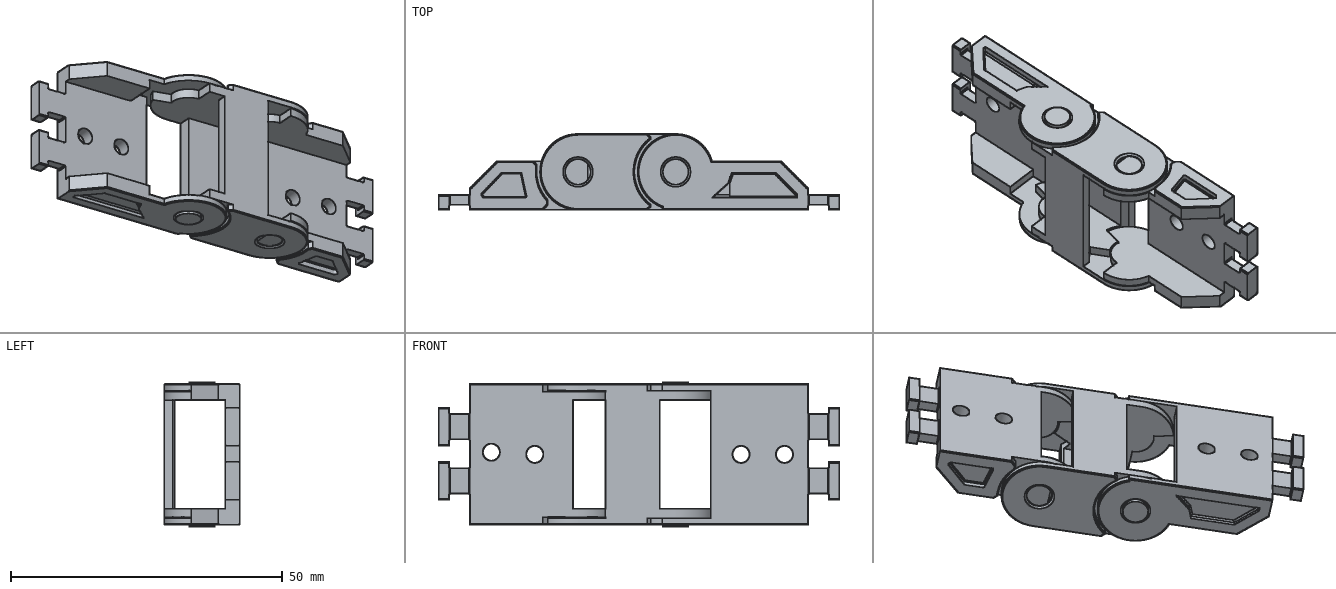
import cadquery as cq
import math

HALF_WIDTH = 13.0
LINK_DEPTH = 14.0
HINGE_Y = LINK_DEPTH / 2
LINK_R = LINK_DEPTH / 2
LEFT_HINGE_X = -11.25
HINGE_SPACING = 18.0
RIGHT_HINGE_X = LEFT_HINGE_X + HINGE_SPACING
TOTAL_LENGTH = 73.87
PEG_LENGTH = 5.8
END_X = TOTAL_LENGTH / 2 - PEG_LENGTH

INNER_Z = 10.0
EAR_Z = 11.75
LEFT_TONGUE_Z = 11.55
EDGE_CHAMFER = 0.2

PLATE_T = 2.75
ARM_Y = 9.0
END_Y = 4.0
NOSE_RUN = ARM_Y - END_Y
LEFT_PLATE_X = -12.15
LINK_PLATE_X0 = -6.2
LINK_PLATE_X1 = 3.85
RIGHT_PLATE_X = 13.2
RIGHT_ARM_STEP_X = 16.7
RIGHT_EAR_FOOT_X = 4.25
SCREW_R = 1.55
LEFT_SCREWS = [(-27.2, 0.4), (-19.2, 0.0)]
RIGHT_SCREWS = [(18.8, 0.0), (26.8, 0.0)]

RECESS_R = 7.6
RECESS_MID_ANGLE = 205.0
TIP_CHAMFER = 0.65
LEFT_FOOT_CHAMFER = 0.9
LEFT_TIP_X = -16.8
LINK_TIP_X = 2.2
CLEARANCE_R = 7.4
BAR_T = 2.0
BAR_X1 = 3.4

HUB_R = 3.4
STOP_ANGLE = -13.0
TONGUE_END_ANGLE = 90.0
STOP_END_ANGLE = 30.0
STOP_HUB_GAP = 0.25
SECTOR_R = 12.0

PIN_R = 2.35
LEFT_PIN_TOP = 12.75
LEFT_PIN_FLAT = 1.8
COUNTERSINK = 0.4
PIN_PROUD = 0.3

LEFT_POCKET_DEPTH = 1.2
LEFT_POCKET_FILLET = 0.3
LEFT_POCKET_FLOOR_CHAMFER = 0.2
RIGHT_POCKET_DEPTH = 1.5
RIGHT_LOWER_POCKET_DEPTH = 1.0
RIGHT_POCKET_FLOOR_CHAMFER = 0.3
LEFT_POCKET = [(-28.7, 2.25), (-20.65, 2.25), (-21.65, 6.85), (-25.3, 6.85), (-29.15, 2.85)]
RIGHT_POCKET = [(13.5, 2.25), (29.15, 2.25), (29.15, 2.85), (25.2, 6.85), (17.1, 6.85), (16.4, 4.9)]

PEG_Z = [5.1, -4.9]
PEG_HEAD_LENGTH = 1.95
PEG_HEAD_WIDTH = 7.0
PEG_HEAD_CHAMFER = 0.2
PEG_NECK_WIDTH = 4.7
PEG_NECK_Y = 0.9
PEG_FLARE = 0.2


def slab(outline, z0, z1):
    """Extrude an XY outline between two heights."""
    return outline.extrude(z1 - z0).translate((0, 0, z0))


def box(x0, x1, y0, y1, z0, z1):
    return cq.Workplane("XY").box(x1 - x0, y1 - y0, z1 - z0, centered=False).translate((x0, y0, z0))


def disc(hinge_x, radius, z0, z1):
    return slab(cq.Workplane("XY").center(hinge_x, HINGE_Y).circle(radius), z0, z1)


def sector(hinge_x, inner_r, start, end, z0, z1):
    """Ring sector around a hinge, between two angles in degrees."""
    def point(radius, angle):
        a = math.radians(angle)
        return (hinge_x + radius * math.cos(a), HINGE_Y + radius * math.sin(a))

    mid = (start + end) / 2
    outline = (
        cq.Workplane("XY")
        .moveTo(*point(inner_r, start))
        .lineTo(*point(SECTOR_R, start))
        .threePointArc(point(SECTOR_R, mid), point(SECTOR_R, end))
        .lineTo(*point(inner_r, end))
        .threePointArc(point(inner_r, mid), point(inner_r, start))
        .close()
    )
    return slab(outline, z0, z1)


def circle_rise(radius, dx):
    """Half chord of a circle at a distance dx from its centre."""
    return math.sqrt(radius**2 - dx**2)


def both_sides(upper):
    """Add the mirror image below the middle plane."""
    return upper.union(upper.mirror("XY"))


def tongue(hinge_x, z1):
    """Round tongue with the quarter beyond the stop cut back to its hub."""
    cut = sector(hinge_x, HUB_R, STOP_ANGLE, TONGUE_END_ANGLE, INNER_Z, z1)
    return disc(hinge_x, LINK_R, INNER_Z, z1).cut(cut)


def pin_hole(hinge_x):
    """Cutter for a pin hole through an outer ear, countersunk at the outer face."""
    countersink = (
        cq.Workplane("XY", origin=(hinge_x, HINGE_Y, HALF_WIDTH))
        .circle(PIN_R + COUNTERSINK)
        .workplane(offset=-COUNTERSINK)
        .circle(PIN_R)
        .loft()
    )
    return disc(hinge_x, PIN_R, EAR_Z, HALF_WIDTH).union(countersink)


def pocket(points, depth):
    """Cutter for a side pocket in the outer face."""
    return slab(cq.Workplane("XY").polyline(points).close(), HALF_WIDTH - depth, HALF_WIDTH)


def screw_holes(places):
    """Cutters for the holes through a plate, at (x, z) places."""
    holes = cq.Workplane("XZ").pushPoints(places).circle(SCREW_R)
    return holes.extrude(-PLATE_T)


def peg(side, z):
    """T-shaped peg on an end face; side is -1 for the left end and +1 for the right."""
    head_x = END_X + PEG_LENGTH - PEG_HEAD_LENGTH
    half_head = PEG_HEAD_WIDTH / 2
    half_neck = PEG_NECK_WIDTH / 2
    head = box(head_x, END_X + PEG_LENGTH, 0, PLATE_T, -half_head, half_head)
    head = head.edges("|X").chamfer(PEG_HEAD_CHAMFER)
    half_outline = [
        (END_X, half_neck + PEG_FLARE),
        (END_X + PEG_FLARE, half_neck),
        (head_x - PEG_FLARE, half_neck),
        (head_x, half_neck + PEG_FLARE),
    ]
    outline = half_outline + [(x, -h) for x, h in reversed(half_outline)]
    neck = cq.Workplane("XZ").polyline(outline).close().extrude(-PLATE_T)
    side_outline = [
        (END_X, PLATE_T),
        (END_X, PEG_NECK_Y - PEG_FLARE),
        (END_X + PEG_FLARE, PEG_NECK_Y),
        (head_x - PEG_FLARE, PEG_NECK_Y),
        (head_x, PEG_NECK_Y - PEG_FLARE),
        (head_x, PLATE_T),
    ]
    profile = slab(cq.Workplane("XY").polyline(side_outline).close(), -half_head, half_head)
    whole_peg = head.union(neck.intersect(profile))
    if side < 0:
        whole_peg = whole_peg.mirror("YZ")
    return whole_peg.translate((0, 0, z))


def make_left_block():
    wall_x = LEFT_HINGE_X - RECESS_R
    tip_y = HINGE_Y - circle_rise(RECESS_R, LEFT_TIP_X - LEFT_HINGE_X)
    mid_angle = math.radians(RECESS_MID_ANGLE)
    arc_mid = (LEFT_HINGE_X + RECESS_R * math.cos(mid_angle), HINGE_Y + RECESS_R * math.sin(mid_angle))
    outer = slab(
        cq.Workplane("XY")
        .moveTo(-END_X, 0)
        .lineTo(LEFT_TIP_X - LEFT_FOOT_CHAMFER, 0)
        .lineTo(LEFT_TIP_X, LEFT_FOOT_CHAMFER)
        .lineTo(LEFT_TIP_X, tip_y)
        .threePointArc(arc_mid, (wall_x, HINGE_Y))
        .lineTo(wall_x, ARM_Y - TIP_CHAMFER)
        .lineTo(wall_x - TIP_CHAMFER, ARM_Y)
        .lineTo(-END_X + NOSE_RUN, ARM_Y)
        .lineTo(-END_X, END_Y)
        .close(),
        INNER_Z,
        HALF_WIDTH,
    )
    outer = outer.faces(">Z").edges("not <X").chamfer(EDGE_CHAMFER)
    cutter = pocket(LEFT_POCKET, LEFT_POCKET_DEPTH).edges("|Z").fillet(LEFT_POCKET_FILLET)
    cutter = cutter.faces("<Z").edges().chamfer(LEFT_POCKET_FLOOR_CHAMFER)
    web = box(wall_x - TIP_CHAMFER, LEFT_HINGE_X, 0, ARM_Y, INNER_Z, LEFT_TONGUE_Z)
    pin = disc(LEFT_HINGE_X, PIN_R, LEFT_TONGUE_Z, LEFT_PIN_TOP)
    flat_x = LEFT_HINGE_X + LEFT_PIN_FLAT
    pin = pin.cut(box(flat_x, flat_x + PIN_R, 0, LINK_DEPTH, LEFT_TONGUE_Z, LEFT_PIN_TOP))
    arm = outer.cut(cutter).union(web).union(tongue(LEFT_HINGE_X, LEFT_TONGUE_Z)).union(pin)

    plate = box(-END_X, LEFT_PLATE_X, 0, PLATE_T, -INNER_Z, INNER_Z)
    block = both_sides(arm).union(plate).cut(screw_holes(LEFT_SCREWS))
    for z in PEG_Z:
        block = block.union(peg(-1, z))
    return block


def make_link():
    tip_y = HINGE_Y - circle_rise(RECESS_R, RIGHT_HINGE_X - LINK_TIP_X)
    outer = slab(
        cq.Workplane("XY")
        .moveTo(LEFT_HINGE_X, 0)
        .lineTo(LINK_TIP_X - TIP_CHAMFER, 0)
        .lineTo(LINK_TIP_X, TIP_CHAMFER)
        .lineTo(LINK_TIP_X, tip_y)
        .threePointArc((RIGHT_HINGE_X - RECESS_R, HINGE_Y), (LINK_TIP_X, LINK_DEPTH - tip_y))
        .lineTo(LINK_TIP_X, LINK_DEPTH - TIP_CHAMFER)
        .lineTo(LINK_TIP_X - TIP_CHAMFER, LINK_DEPTH)
        .lineTo(LEFT_HINGE_X, LINK_DEPTH)
        .threePointArc((LEFT_HINGE_X - LINK_R, HINGE_Y), (LEFT_HINGE_X, 0))
        .close(),
        EAR_Z,
        HALF_WIDTH,
    )
    outer = outer.faces(">Z").edges().chamfer(EDGE_CHAMFER)
    outer = outer.cut(pin_hole(LEFT_HINGE_X))

    clearance = disc(LEFT_HINGE_X, CLEARANCE_R, -EAR_Z, EAR_Z)
    stop = sector(LEFT_HINGE_X, HUB_R + STOP_HUB_GAP, STOP_ANGLE, STOP_END_ANGLE, INNER_Z, EAR_Z)
    stop = stop.intersect(clearance)
    web = box(LINK_PLATE_X0, RIGHT_HINGE_X, 0, LINK_DEPTH, INNER_Z, EAR_Z)
    web = web.cut(clearance).union(stop)
    pin = disc(RIGHT_HINGE_X, PIN_R, EAR_Z, HALF_WIDTH + PIN_PROUD)
    side = outer.union(web).union(tongue(RIGHT_HINGE_X, EAR_Z)).union(pin)

    plate = box(LINK_PLATE_X0, LINK_PLATE_X1, 0, PLATE_T, -INNER_Z, INNER_Z)
    bar = box(LINK_PLATE_X0, BAR_X1, LINK_DEPTH - BAR_T, LINK_DEPTH, -INNER_Z, INNER_Z)
    return both_sides(side).union(plate.union(bar).cut(clearance))


def right_pocket(depth):
    """Cutter for a right side pocket, chamfered around its floor."""
    cutter = pocket(RIGHT_POCKET, depth)
    return cutter.faces("<Z").edges().chamfer(RIGHT_POCKET_FLOOR_CHAMFER)


def make_right_block():
    foot_y = HINGE_Y - circle_rise(LINK_R, RIGHT_HINGE_X - RIGHT_EAR_FOOT_X)
    neck_x = RIGHT_HINGE_X + circle_rise(LINK_R, ARM_Y - HINGE_Y)
    outer = slab(
        cq.Workplane("XY")
        .moveTo(END_X, 0)
        .lineTo(RIGHT_EAR_FOOT_X, 0)
        .lineTo(RIGHT_EAR_FOOT_X, foot_y)
        .threePointArc((RIGHT_HINGE_X - LINK_R, HINGE_Y), (RIGHT_HINGE_X, LINK_DEPTH))
        .threePointArc(
            (RIGHT_HINGE_X + LINK_R * math.sin(math.pi / 4), HINGE_Y + LINK_R * math.cos(math.pi / 4)),
            (neck_x, ARM_Y),
        )
        .lineTo(END_X - NOSE_RUN, ARM_Y)
        .lineTo(END_X, END_Y)
        .close(),
        INNER_Z,
        HALF_WIDTH,
    )
    outer = outer.faces(">Z").edges("not >X").chamfer(EDGE_CHAMFER)
    outer = outer.cut(box(LINK_PLATE_X0, RIGHT_ARM_STEP_X, 0, LINK_DEPTH, INNER_Z, EAR_Z))
    arm = outer.cut(pin_hole(RIGHT_HINGE_X))
    upper_pocket = right_pocket(RIGHT_POCKET_DEPTH)
    lower_pocket = right_pocket(RIGHT_LOWER_POCKET_DEPTH).mirror("XY")

    plate = box(RIGHT_PLATE_X, END_X, 0, PLATE_T, -INNER_Z, INNER_Z)
    plate = plate.union(box(RIGHT_PLATE_X, RIGHT_ARM_STEP_X, 0, PLATE_T, -EAR_Z, EAR_Z))
    block = both_sides(arm).cut(upper_pocket).cut(lower_pocket)
    block = block.union(plate).cut(screw_holes(RIGHT_SCREWS))
    for z in PEG_Z:
        block = block.union(peg(1, z))
    return block


left_block = make_left_block()
link = make_link()
right_block = make_right_block()

bodies = [left_block.solids().val(), link.solids().val(), right_block.solids().val()]
result = cq.Compound.makeCompound(bodies)